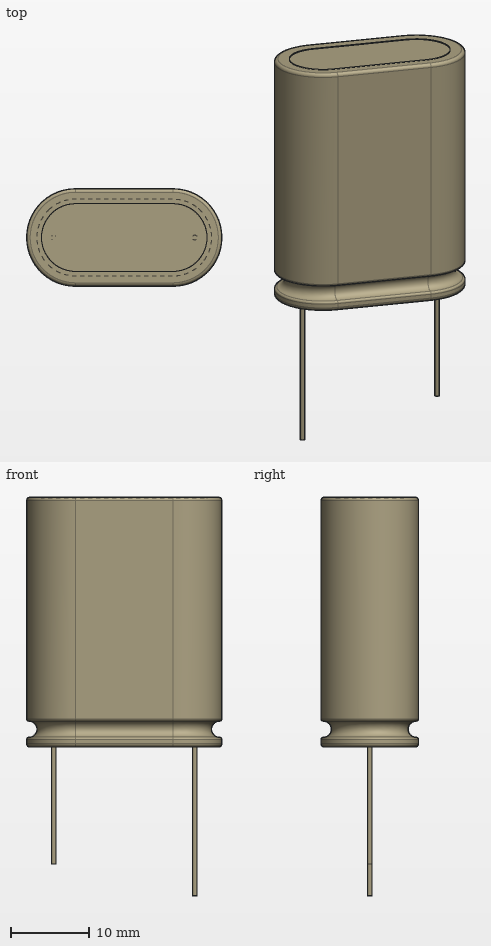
import cadquery as cq
import math

length = 25.0
width = 12.5
total_height = 51.0
long_lead = 19.0
short_lead = 14.95
can_height = total_height - long_lead
end_radius = width / 2
straight = length - width

top_round = 0.45
base_round = 0.45
lip_round = 0.3
flange_height = 1.3
groove_radius = 1.0

recess_length = 21.15
recess_width = 8.65
recess_depth = 0.1

lead_diameter = 0.6
lead_offset = 9.05
lead_embed = 0.5


def wall_profile(plane):
    """Half section from the centre line out to the rounded, grooved wall."""
    diagonal = math.sqrt(0.5)
    groove_top = flange_height + 2 * groove_radius
    lip_radius = end_radius - lip_round

    def corner(radius, center_z, direction):
        """Midpoint of a convex edge rounding; direction is +1 above, -1 below its center."""
        return (end_radius - radius + radius * diagonal, center_z + direction * radius * diagonal)

    return (
        cq.Workplane(plane)
        .lineTo(end_radius - base_round, 0)
        .threePointArc(corner(base_round, base_round, -1), (end_radius, base_round))
        .lineTo(end_radius, flange_height - lip_round)
        .threePointArc(corner(lip_round, flange_height - lip_round, 1), (lip_radius, flange_height))
        .threePointArc((lip_radius - groove_radius, flange_height + groove_radius), (lip_radius, groove_top))
        .threePointArc(corner(lip_round, groove_top + lip_round, -1), (end_radius, groove_top + lip_round))
        .lineTo(end_radius, can_height - top_round)
        .threePointArc(corner(top_round, can_height - top_round, 1), (end_radius - top_round, can_height))
        .lineTo(0, can_height)
        .close()
    )


def make_can():
    """Straight middle with a revolved round end on each side."""
    half_middle = wall_profile("YZ").extrude(straight / 2, both=True)
    can = half_middle.union(half_middle.mirror("XZ"))
    round_end = wall_profile("XZ").revolve(360, (0, 0), (0, 1))
    for side in (-1, 1):
        can = can.union(round_end.translate((side * straight / 2, 0, 0)))
    return can


def make_recess():
    """Shallow stadium sunk into the top face."""
    return (
        cq.Workplane("XY", origin=(0, 0, can_height))
        .slot2D(recess_length, recess_width)
        .extrude(-recess_depth)
    )


def make_lead(x, lead_length):
    """Wire hanging below the base, its upper end embedded in the can."""
    return (
        cq.Workplane("XY", origin=(x, 0, -lead_length))
        .circle(lead_diameter / 2)
        .extrude(lead_length + lead_embed)
    )


result = make_can().cut(make_recess())
for lead_x, lead_length in ((-lead_offset, short_lead), (lead_offset, long_lead)):
    result = result.union(make_lead(lead_x, lead_length))